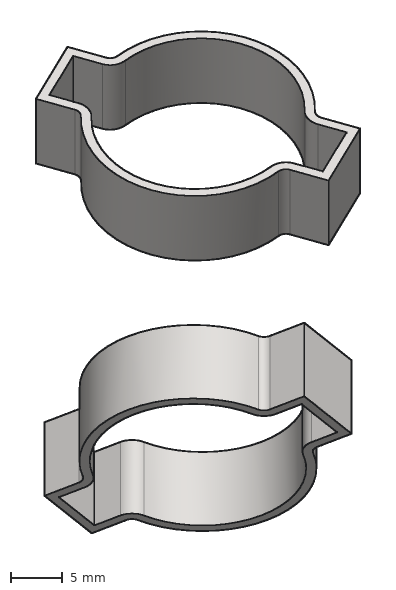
import cadquery as cq
import math

length = 30.5
width = 23.5
height = 8.5
wall = 1.0
end_box_width = 8.0
arc_radius = 11.0
neck_radius = 1.0

arc_center_y = width / 2 - arc_radius
neck_center_y = end_box_width / 2 + neck_radius
neck_rise = neck_center_y - arc_center_y
neck_center_x = math.sqrt((arc_radius + neck_radius) ** 2 - neck_rise ** 2)

neck_angle = math.atan2(neck_rise, neck_center_x)
neck_mid_angle = (neck_angle + math.pi / 2) / 2


def ring_prism(inset):
    """Solid prism of the ring outline, moved inward from the outer face by inset."""
    end_x = length / 2 - inset
    box_y = end_box_width / 2 - inset
    crown_y = width / 2 - inset
    side_radius = arc_radius - inset
    blend_radius = neck_radius + inset

    join_x = side_radius * math.cos(neck_angle)
    join_y = arc_center_y + side_radius * math.sin(neck_angle)
    blend_x = neck_center_x - blend_radius * math.cos(neck_mid_angle)
    blend_y = neck_center_y - blend_radius * math.sin(neck_mid_angle)

    return (
        cq.Workplane("XY")
        .moveTo(end_x, -box_y)
        .lineTo(end_x, box_y)
        .lineTo(neck_center_x, box_y)
        .threePointArc((blend_x, blend_y), (join_x, join_y))
        .threePointArc((0, crown_y), (-join_x, join_y))
        .threePointArc((-blend_x, blend_y), (-neck_center_x, box_y))
        .lineTo(-end_x, box_y)
        .lineTo(-end_x, -box_y)
        .lineTo(-neck_center_x, -box_y)
        .threePointArc((-blend_x, -blend_y), (-join_x, -join_y))
        .threePointArc((0, -crown_y), (join_x, -join_y))
        .threePointArc((blend_x, -blend_y), (neck_center_x, -box_y))
        .close()
        .extrude(height)
    )


result = ring_prism(0).cut(ring_prism(wall))